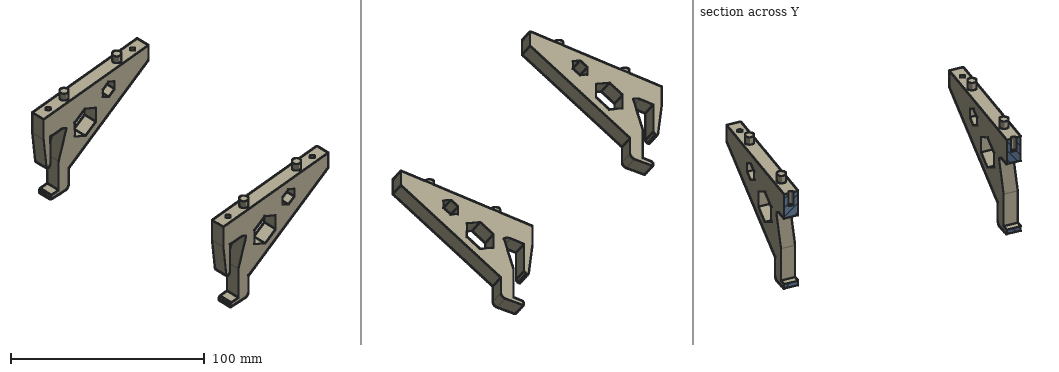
import cadquery as cq
import math

overall_width = 134.0
overall_height = 63.2
thickness = 8.0
length = 80.0
bracket_x = (overall_width - thickness) / 2
front_y = -length / 2
back_y = length / 2

back_height = 10.2
underside_angle = 30.0
leg_back_y = -20.8
leg_front_y = -28.5
leg_top_z = -back_height - (back_y - leg_back_y) * math.tan(math.radians(underside_angle))
bottom_z = -58.7
heel_radius = 2.7

lip_end_y = -34.8
lip_top_z = -55.2
lip_end_bottom_z = -58.0
lip_bevel = 1.0
lip_lower_edge_z = -57.1
lip_undercut = 0.3

slot_top_z = -15.1
slot_front_y = -34.8
slot_back_y = -22.6
slot_back_z = -17.2
slot_arc_start_y = -26.8
slot_arc_mid_y = -24.5
slot_arc_mid_z = -15.7
slot_taper_end_z = -35.6

finger_taper_z = -13.7
finger_bevel_z = -34.0
finger_tip_z = -35.2
finger_tip_back_y = -36.2
finger_tip_front_y = -37.3
finger_front_y = -37.8

small_hex_flats = 8.8
small_hex_y = 9.6
small_hex_z = -10.9
large_hex_flats = 16.1
large_hex_y = -8.2
large_hex_z = -22.0

peg_diameter = 4.8
peg_height = overall_height + bottom_z
peg_y = 20.1
hole_diameter = 2.7
hole_depth = 8.0
hole_y = 32.2


def profile_plane():
    """YZ plane on the -X face of a bracket centred on X = 0."""
    return cq.Workplane("YZ", origin=(-thickness / 2, 0, 0))


def make_plate():
    """Side profile of the bracket, extruded across its thickness."""
    heel_center_y = leg_back_y - heel_radius
    heel_center_z = bottom_z + heel_radius
    heel_offset = heel_radius * math.sqrt(0.5)
    outline = (
        profile_plane()
        .moveTo(back_y, 0)
        .lineTo(back_y, -back_height)
        .lineTo(leg_back_y, leg_top_z)
        .lineTo(leg_back_y, heel_center_z)
        .threePointArc(
            (heel_center_y + heel_offset, heel_center_z - heel_offset),
            (heel_center_y, bottom_z),
        )
        .lineTo(lip_end_y + lip_undercut, lip_end_bottom_z)
        .lineTo(lip_end_y, lip_lower_edge_z)
        .lineTo(lip_end_y, lip_top_z - lip_bevel)
        .lineTo(lip_end_y + lip_bevel, lip_top_z)
        .lineTo(leg_front_y, lip_top_z)
        .lineTo(leg_front_y, slot_taper_end_z)
        .lineTo(slot_back_y, slot_back_z)
        .threePointArc((slot_arc_mid_y, slot_arc_mid_z), (slot_arc_start_y, slot_top_z))
        .lineTo(slot_front_y, slot_top_z)
        .lineTo(slot_front_y, finger_bevel_z)
        .lineTo(finger_tip_back_y, finger_tip_z)
        .lineTo(finger_tip_front_y, finger_tip_z)
        .lineTo(finger_front_y, finger_bevel_z)
        .lineTo(front_y, finger_taper_z)
        .lineTo(front_y, 0)
        .close()
    )
    return outline.extrude(thickness)


def make_hex_cutter(center_y, center_z, flats):
    """Hexagonal prism with corners pointing up and down."""
    corner_radius = flats / math.sqrt(3)
    corners = []
    for index in range(6):
        angle = math.radians(90 + 60 * index)
        corners.append((
            center_y + corner_radius * math.cos(angle),
            center_z + corner_radius * math.sin(angle),
        ))
    return profile_plane().polyline(corners).close().extrude(thickness)


def make_bracket():
    """One complete bracket centred on X = 0, with its pegs, windows and holes."""
    top = cq.Workplane("XY")
    pegs = top.pushPoints([(0, -peg_y), (0, peg_y)]).circle(peg_diameter / 2).extrude(peg_height)
    holes = top.pushPoints([(0, -hole_y), (0, hole_y)]).circle(hole_diameter / 2).extrude(-hole_depth)
    return (
        make_plate()
        .cut(make_hex_cutter(small_hex_y, small_hex_z, small_hex_flats))
        .cut(make_hex_cutter(large_hex_y, large_hex_z, large_hex_flats))
        .cut(holes)
        .union(pegs)
    )


brackets = []
for center_x in (-bracket_x, bracket_x):
    brackets.append(make_bracket().translate((center_x, 0, 0)).val())

result = cq.Compound.makeCompound(brackets)